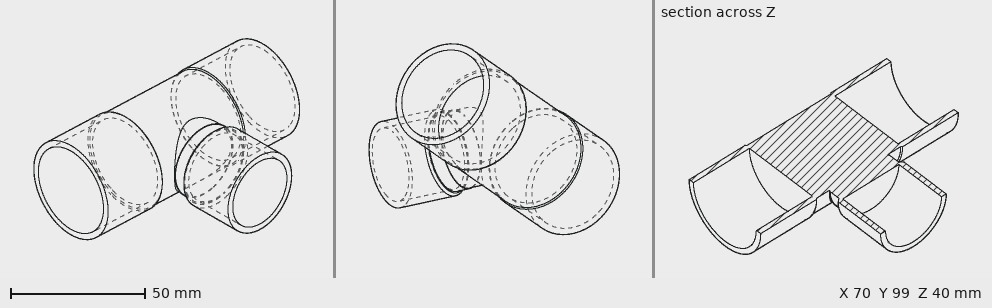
import cadquery as cq

run_length = 99.0
run_collar_diameter = 40.0
run_body_diameter = 39.0
run_bore_diameter = 35.0
run_socket_depth = 28.0

branch_reach = 50.0
branch_collar_diameter = 33.0
branch_neck_diameter = 30.0
branch_root_diameter = 29.5
branch_bore_diameter = 28.0
branch_socket_depth = 23.7

run_collar_chamfer = (run_collar_diameter - run_body_diameter) / 2
branch_collar_chamfer = 1.0
run_collar_length = run_socket_depth + run_collar_chamfer
branch_collar_length = branch_socket_depth + branch_collar_chamfer

run_near_end = -run_length / 2
branch_neck_start = run_collar_diameter / 2


def run_cylinder(diameter, length):
    """Cylinder on the Y axis, from the -Y end of the run towards +Y."""
    plane = cq.Workplane("XZ", origin=(0, run_near_end, 0))
    return plane.circle(diameter / 2).extrude(-length)


def branch_cylinder(diameter, start, end):
    """Cylinder on the X axis, from x = start to x = end."""
    plane = cq.Workplane("YZ", origin=(start, 0, 0))
    return plane.circle(diameter / 2).extrude(end - start)


def make_run():
    """Solid run with a chamfered collar at both ends."""
    body = run_cylinder(run_body_diameter, run_length)
    collar = run_cylinder(run_collar_diameter, run_collar_length)
    collar = collar.faces(">Y").chamfer(run_collar_chamfer)
    return body.union(collar).union(collar.mirror("XZ"))


def make_branch():
    """Solid branch: root, slightly wider neck and chamfered collar."""
    collar_start = branch_reach - branch_collar_length
    root = branch_cylinder(branch_root_diameter, 0, branch_neck_start)
    neck = branch_cylinder(branch_neck_diameter, branch_neck_start, collar_start)
    collar = branch_cylinder(branch_collar_diameter, collar_start, branch_reach)
    collar = collar.faces("<X").chamfer(branch_collar_chamfer)
    return root.union(neck).union(collar)


def cut_sockets(tee):
    """Blind, flat-bottomed sockets in all three ends."""
    run_socket = run_cylinder(run_bore_diameter, run_socket_depth)
    branch_socket_start = branch_reach - branch_socket_depth
    branch_socket = branch_cylinder(branch_bore_diameter, branch_socket_start, branch_reach)
    return tee.cut(run_socket).cut(run_socket.mirror("XZ")).cut(branch_socket)


result = cut_sockets(make_run().union(make_branch()))